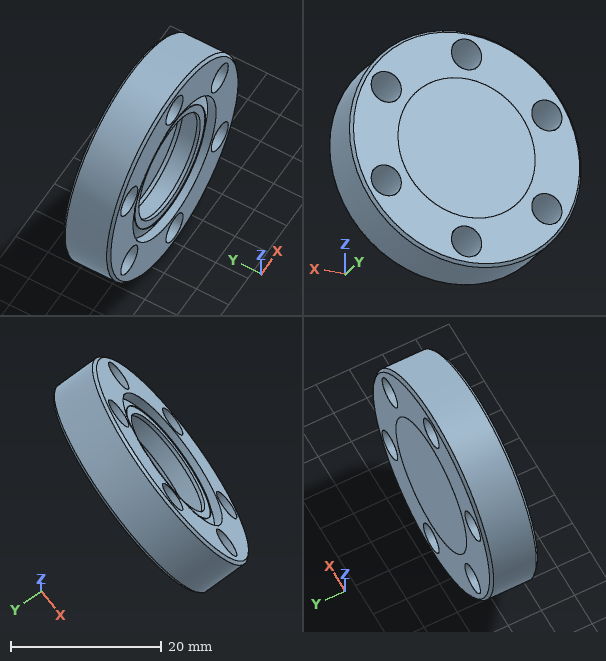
import cadquery as cq

flange_radius = 16.9
flange_thickness = 7.23
edge_chamfer = 0.4
front_y = -flange_thickness / 2
back_y = flange_thickness / 2

bolt_count = 6
bolt_hole_radius = 2.2
bolt_circle_radius = 13.5

recess_radius = 10.75
recess_depth = 1.32
knife_radius = 9.12
knife_depth = 0.65
lip_depth = 0.78

lip_radius = 7.95
lip_thickness = 0.5
chamber_radius = 9.12
chamber_depth = 4.12

window_radius = 10.0
window_thickness = 2.6
window_fillet = 1.3


def revolve_about_y(points):
    """Revolve a closed (radius, y) outline about the Y axis."""
    return cq.Workplane("XY").polyline(points).close().revolve(360, (0, 0, 0), (0, 1, 0))


def make_flange():
    lip_front_y = front_y + lip_depth
    lip_back_y = lip_front_y + lip_thickness
    ring = revolve_about_y([
        (window_radius, back_y),
        (flange_radius - edge_chamfer, back_y),
        (flange_radius, back_y - edge_chamfer),
        (flange_radius, front_y + edge_chamfer),
        (flange_radius - edge_chamfer, front_y),
        (recess_radius, front_y),
        (recess_radius, front_y + recess_depth),
        (knife_radius, front_y + knife_depth),
        (knife_radius, lip_front_y),
        (lip_radius, lip_front_y),
        (lip_radius, lip_back_y),
        (chamber_radius, lip_back_y),
        (chamber_radius, front_y + chamber_depth),
        (window_radius, front_y + chamber_depth),
    ])
    bolt_holes = (
        cq.Workplane("XZ", origin=(0, front_y, 0))
        .polarArray(bolt_circle_radius, 90, 360, bolt_count)
        .circle(bolt_hole_radius)
        .extrude(-flange_thickness)
    )
    return ring.cut(bolt_holes)


def make_window():
    window_front_y = back_y - window_thickness
    disc = revolve_about_y([
        (0, window_front_y),
        (window_radius, window_front_y),
        (window_radius, back_y),
        (0, back_y),
    ])
    return disc.faces("<Y").edges().fillet(window_fillet)


flange = make_flange()
window = make_window()

result = cq.Compound.makeCompound([flange.val(), window.val()])